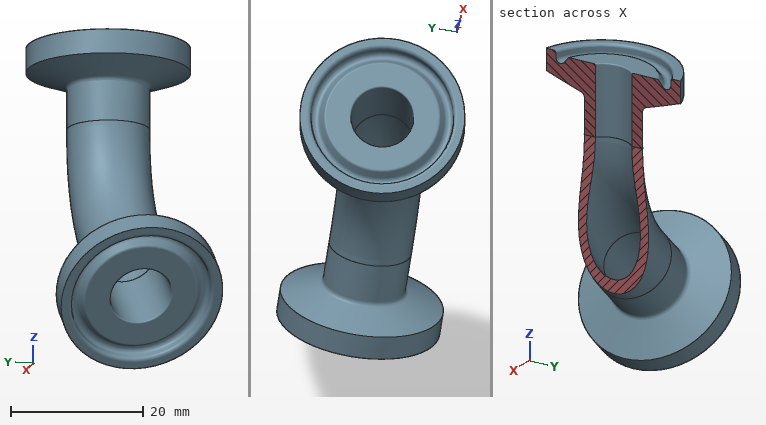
import cadquery as cq
import math

overall_height = 52.2
bend_angle = 45.0

tube_radius = 6.3
bore_radius = 4.75

flange_diameter = 25.0
flange_radius = flange_diameter / 2
rim_thickness = 3.75
back_slope_angle = 20.0
neck_fillet = 0.7
ferrule_length = 12.7

seat_depth = 0.65
bore_edge_fillet = 0.2

groove_rim_radius = 11.4
groove_floor_outer_radius = 10.8
groove_floor_inner_radius = 9.5
groove_wall_radius = 8.9
groove_seat_radius = 8.5
rim_lip_depth = 0.45
rim_wall_depth = 1.3
floor_edge_depth = 1.65
seat_lip_depth = 0.85

stub_length = 0.9

bend_rad = math.radians(bend_angle)
leg_length = ferrule_length + stub_length
leg_height = leg_length * (1 + math.cos(bend_rad))
rim_drop = flange_radius * math.sin(bend_rad)
bend_radius = (overall_height - leg_height - rim_drop) / math.sin(bend_rad)


def make_ferrule():
    """Clamp ferrule with its rim face at Z = 0 and its neck pointing down."""
    cone_height = (flange_radius - tube_radius) * math.tan(math.radians(back_slope_angle))
    neck_start = rim_thickness + cone_height
    rim_lip_width = groove_rim_radius - groove_floor_outer_radius
    rim_lip_arc = 2 * math.atan2(rim_lip_depth, rim_lip_width)
    rim_lip_fillet = rim_lip_width / math.sin(rim_lip_arc)
    rim_lip_middle = (
        groove_rim_radius - rim_lip_fillet * math.sin(rim_lip_arc / 2),
        -rim_lip_fillet * (1 - math.cos(rim_lip_arc / 2)),
    )
    profile = (
        cq.Workplane("XZ")
        .moveTo(bore_radius + bore_edge_fillet, -seat_depth)
        .lineTo(groove_seat_radius, -seat_depth)
        .tangentArcPoint((groove_wall_radius, -seat_lip_depth), relative=False)
        .lineTo(groove_floor_inner_radius, -floor_edge_depth)
        .tangentArcPoint((groove_floor_outer_radius, -rim_wall_depth), relative=False)
        .lineTo(groove_floor_outer_radius, -rim_lip_depth)
        .threePointArc(rim_lip_middle, (groove_rim_radius, 0))
        .lineTo(flange_radius, 0)
        .lineTo(flange_radius, -rim_thickness)
        .lineTo(tube_radius, -neck_start)
        .lineTo(tube_radius, -ferrule_length)
        .lineTo(bore_radius, -ferrule_length)
        .lineTo(bore_radius, -seat_depth - bore_edge_fillet)
        .tangentArcPoint((bore_radius + bore_edge_fillet, -seat_depth), relative=False)
        .close()
    )
    blank = profile.revolve(360, (0, 0, 0), (0, 1, 0))
    neck_corner = cq.selectors.BoxSelector(
        (-flange_radius, -flange_radius, -neck_start - neck_fillet / 2),
        (flange_radius, flange_radius, -neck_start + neck_fillet / 2),
    )
    return blank.edges("%CIRCLE").edges(neck_corner).fillet(neck_fillet)


def make_elbow():
    """Bent tube with straight stubs, its upper end at the upper ferrule's neck."""
    stub_end = -leg_length
    bend_middle = bend_rad / 2
    bend_drop = bend_radius * math.sin(bend_rad)
    bend_shift = bend_radius * (1 - math.cos(bend_rad))
    path = (
        cq.Workplane("XZ")
        .moveTo(0, -ferrule_length)
        .lineTo(0, stub_end)
        .threePointArc(
            (-bend_radius * (1 - math.cos(bend_middle)), stub_end - bend_radius * math.sin(bend_middle)),
            (-bend_shift, stub_end - bend_drop),
        )
        .line(-stub_length * math.sin(bend_rad), -stub_length * math.cos(bend_rad))
    )
    return (
        cq.Workplane("XY", origin=(0, 0, -ferrule_length))
        .circle(tube_radius)
        .circle(bore_radius)
        .sweep(path)
    )


def turn_around_bend(body):
    """Mirror a body at the upper end to the matching place at the lower end."""
    bend_centre = (-bend_radius, 0, -leg_length)
    axis_end = (-bend_radius, 1, -leg_length)
    mirrored = body.mirror("XY", (0, 0, -leg_length))
    return mirrored.rotate(bend_centre, axis_end, bend_angle)


upper_ferrule = make_ferrule()
ferrules = [upper_ferrule, turn_around_bend(upper_ferrule)]
elbow = make_elbow()

result = cq.Compound.makeCompound([elbow.val(), *[ferrule.val() for ferrule in ferrules]])